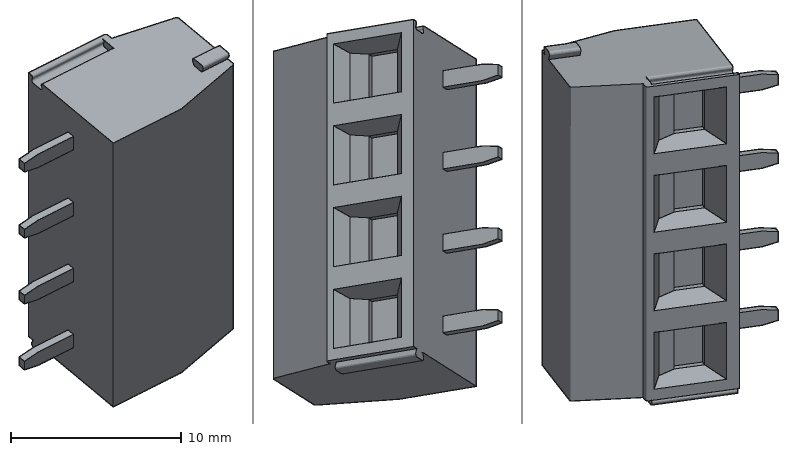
import cadquery as cq


POLES = 4
PITCH = 5.07
HEIGHT = POLES * PITCH
OVERALL_HEIGHT = 21.32
WIDTH = 8.1
DEPTH = 10.0
LEDGE_Y = 5.78
LEDGE_WIDTH = 0.53
ENTRY_TOP_X = 1.39
REAR_TOP_X = 6.8
REAR_SHOULDER_Y = 5.07
CORNER_RADIUS = 0.17

PIN_X = WIDTH / 2
PIN_WIDTH = 0.51
PIN_HEIGHT = 1.02
PIN_TIP_HEIGHT = 0.66
PIN_LENGTH = 3.65
PIN_TAPER_LENGTH = 1.02

MOUTH_FRONT_Y = 0.79
MOUTH_BACK_Y = 5.27
MOUTH_HEIGHT = 3.67
FUNNEL_DEPTH = 1.3
THROAT_FRONT_Y = 1.73
THROAT_BACK_Y = 3.6
THROAT_HEIGHT = 2.66
RAMP_DEPTH = 0.95
RAMP_Y = 4.67
SLOT_DEPTH = 1.7

KEY_HEIGHT = (OVERALL_HEIGHT - HEIGHT) / 2
KEY_NECK = 0.75
KEY_HEAD = 1.22
KEY_RADIUS = 0.17
ENTRY_KEY_X = 0.8
ENTRY_KEY_LENGTH = 5.3
REAR_KEY_X = 5.82
REAR_KEY_LENGTH = 1.95
GROOVE_NECK = 0.65
GROOVE_FLOOR = 1.15
GROOVE_FLOOR_RADIUS = 0.15
GROOVE_MOUTH_RADIUS = 0.15


def along_y(profile, start_y, length):
    """Extrude a closed list of (x, z) points towards +Y from start_y."""
    plane = cq.Workplane("XZ", origin=(0, start_y, 0))
    return plane.polyline(profile).close().extrude(-length)


def make_housing():
    outline = [
        (0, 0),
        (WIDTH, 0),
        (WIDTH, REAR_SHOULDER_Y),
        (REAR_TOP_X, DEPTH),
        (ENTRY_TOP_X, DEPTH),
        (LEDGE_WIDTH, LEDGE_Y),
        (0, LEDGE_Y),
    ]
    housing = cq.Workplane("XY").polyline(outline).close().extrude(HEIGHT)
    for x, y in [(0, LEDGE_Y), (ENTRY_TOP_X, DEPTH), (REAR_TOP_X, DEPTH)]:
        corner = cq.selectors.NearestToPointSelector((x, y, HEIGHT / 2))
        housing = housing.edges("|Z").edges(corner).fillet(CORNER_RADIUS)
    return housing


def make_funnel(center_z):
    """Wire entry: plan shape limited by walls that close in towards the throat."""
    plan = [
        (0, MOUTH_FRONT_Y),
        (FUNNEL_DEPTH, THROAT_FRONT_Y),
        (FUNNEL_DEPTH, THROAT_BACK_Y),
        (RAMP_DEPTH, RAMP_Y),
        (0, MOUTH_BACK_Y),
    ]
    side = [
        (0, center_z - MOUTH_HEIGHT / 2),
        (FUNNEL_DEPTH, center_z - THROAT_HEIGHT / 2),
        (FUNNEL_DEPTH, center_z + THROAT_HEIGHT / 2),
        (0, center_z + MOUTH_HEIGHT / 2),
    ]
    prism = cq.Workplane("XY").polyline(plan).close().extrude(HEIGHT)
    funnel = prism.intersect(along_y(side, 0, DEPTH))
    slot = cq.Workplane("XY").box(
        SLOT_DEPTH - FUNNEL_DEPTH,
        THROAT_BACK_Y - THROAT_FRONT_Y,
        THROAT_HEIGHT,
        centered=(False, False, True),
    )
    return funnel.union(slot.translate((FUNNEL_DEPTH, THROAT_FRONT_Y, center_z)))


def make_pin(center_z):
    half_height = PIN_HEIGHT / 2
    half_tip = PIN_TIP_HEIGHT / 2
    taper_start_y = PIN_TAPER_LENGTH - PIN_LENGTH
    outline = [
        (0, center_z - half_height),
        (taper_start_y, center_z - half_height),
        (-PIN_LENGTH, center_z - half_tip),
        (-PIN_LENGTH, center_z + half_tip),
        (taper_start_y, center_z + half_height),
        (0, center_z + half_height),
    ]
    plane = cq.Workplane("YZ", origin=(PIN_X, 0, 0))
    return plane.polyline(outline).close().extrude(PIN_WIDTH / 2, both=True)


def make_dovetail(center_x, base_z, height, start_y, length, neck, head, radius):
    """Dovetail bar along Y; a negative height points its rounded head down."""
    head_z = base_z + height
    profile = [
        (center_x - neck / 2, base_z),
        (center_x - head / 2, head_z),
        (center_x + head / 2, head_z),
        (center_x + neck / 2, base_z),
    ]
    bar = along_y(profile, start_y, length)
    head_face = ">Z" if height > 0 else "<Z"
    return bar.faces(head_face).edges("|Y").fillet(radius)


def make_key(center_x, base_z, height, start_y, length):
    section = (KEY_NECK, KEY_HEAD, KEY_RADIUS)
    return make_dovetail(center_x, base_z, height, start_y, length, *section)


def cut_groove(housing):
    """Groove in the top face that accepts the bottom key of another block."""
    section = (GROOVE_NECK, GROOVE_FLOOR, GROOVE_FLOOR_RADIUS)
    groove = make_dovetail(ENTRY_KEY_X, HEIGHT, -KEY_HEIGHT, 0, ENTRY_KEY_LENGTH, *section)
    housing = housing.cut(groove)
    for side in (-1, 1):
        edge_point = (ENTRY_KEY_X + side * GROOVE_NECK / 2, ENTRY_KEY_LENGTH / 2, HEIGHT)
        mouth_edge = cq.selectors.NearestToPointSelector(edge_point)
        housing = housing.edges("|Y").edges(mouth_edge).fillet(GROOVE_MOUTH_RADIUS)
    return housing


result = cut_groove(make_housing())
result = result.union(make_key(ENTRY_KEY_X, 0, -KEY_HEIGHT, 0, ENTRY_KEY_LENGTH))
rear_key_start = DEPTH - REAR_KEY_LENGTH
result = result.union(make_key(REAR_KEY_X, HEIGHT, KEY_HEIGHT, rear_key_start, REAR_KEY_LENGTH))

for pole in range(POLES):
    pole_z = (pole + 0.5) * PITCH
    result = result.cut(make_funnel(pole_z)).union(make_pin(pole_z))